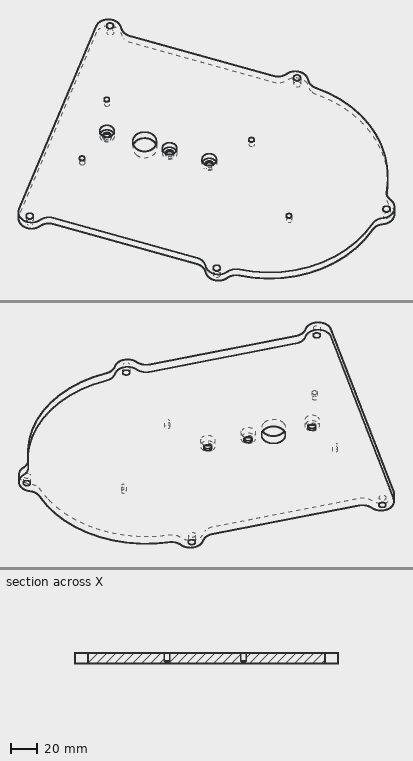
import cadquery as cq
import math

length = 270.0
thickness = 8.0
ear_radius = 10.0
half_width = length / 3
nose_center_x = length - ear_radius - half_width

ear_hole_diameter = 5.5
ear_hole_offset = 4.0
middle_ear_x = nose_center_x - ear_radius
nose_ear_x = nose_center_x + half_width

bore_x = 70.0
bore_diameter = 18.0
counterbored_hole_xs = (39.7, 90.0, 121.8)
screw_hole_diameter = 6.2
counterbore_diameter = 11.0
counterbore_depth = 6.0

blind_hole_diameter = 4.0
blind_hole_depth = 6.0
drill_tip_angle = 118.0
blind_left_x = 30.0
blind_upper_y = 28.0
blind_lower_y = -30.0
blind_upper_right_x = 146.0
blind_lower_right_x = 196.0
blind_hole_points = (
    (blind_left_x, blind_upper_y),
    (blind_upper_right_x, blind_upper_y),
    (blind_left_x, blind_lower_y),
    (blind_lower_right_x, blind_lower_y),
)

ears = [((nose_ear_x, 0), (1, 0))]
for side in (1, -1):
    for ear_x in (ear_radius, middle_ear_x):
        ears.append(((ear_x, side * half_width), (0, side)))


def round_prism(points, diameter, bottom, height):
    """Upright cylinders at the given points."""
    plane = cq.Workplane("XY").workplane(offset=bottom)
    return plane.pushPoints(points).circle(diameter / 2).extrude(height)


def nose_blend_center(ear_x, ear_y, turn):
    """Center of the blend touching an ear and the nose arc; turn is 1 for counterclockwise."""
    center_distance = math.hypot(ear_x - nose_center_x, ear_y)
    nose_reach = half_width + ear_radius
    ear_reach = 2 * ear_radius
    cosine = (nose_reach**2 + center_distance**2 - ear_reach**2) / (2 * nose_reach * center_distance)
    angle = math.atan2(ear_y, ear_x - nose_center_x) + turn * math.acos(cosine)
    return (nose_center_x + nose_reach * math.cos(angle), nose_reach * math.sin(angle))


def blend_triangles():
    """Ear center, blend center and a point inside the body for each concave blend."""
    nose_center = (nose_center_x, 0)
    straight_run = math.sqrt((2 * ear_radius) ** 2 - ear_radius**2)
    triangles = []
    for side in (1, -1):
        ear_y = side * half_width
        for ear_x, direction in ((ear_radius, 1), (middle_ear_x, -1)):
            blend_x = ear_x + direction * straight_run
            blend_center = (blend_x, ear_y + side * ear_radius)
            triangles.append(((ear_x, ear_y), blend_center, (blend_x, 0)))
        middle_blend = nose_blend_center(middle_ear_x, ear_y, -side)
        triangles.append(((middle_ear_x, ear_y), middle_blend, nose_center))
        triangles.append(((nose_ear_x, 0), nose_blend_center(nose_ear_x, 0, side), nose_center))
    return triangles


def make_plate():
    """Rectangle with a semicircular nose, plus ears blended into its edge."""
    body = (
        cq.Workplane("XY")
        .moveTo(0, -half_width)
        .lineTo(nose_center_x, -half_width)
        .threePointArc((nose_ear_x, 0), (nose_center_x, half_width))
        .lineTo(0, half_width)
        .close()
        .extrude(thickness)
    )
    ear_centers = [center for center, _ in ears]
    plate = body.union(round_prism(ear_centers, 2 * ear_radius, 0, thickness))

    for ear_center, blend_center, body_point in blend_triangles():
        triangle = cq.Workplane("XY").polyline([ear_center, blend_center, body_point]).close()
        web = triangle.extrude(thickness)
        plate = plate.union(web.cut(round_prism([blend_center], 2 * ear_radius, 0, thickness)))
    return plate


def make_ear_holes():
    points = []
    for (x, y), (out_x, out_y) in ears:
        points.append((x + ear_hole_offset * out_x, y + ear_hole_offset * out_y))
    return round_prism(points, ear_hole_diameter, 0, thickness)


def make_counterbored_holes():
    points = [(x, 0) for x in counterbored_hole_xs]
    screw_holes = round_prism(points, screw_hole_diameter, 0, thickness)
    floor = thickness - counterbore_depth
    return screw_holes.union(round_prism(points, counterbore_diameter, floor, counterbore_depth))


def make_blind_holes():
    """Drilled holes revolved about their own axes."""
    radius = blind_hole_diameter / 2
    tip_height = radius / math.tan(math.radians(drill_tip_angle / 2))
    shoulder = thickness - blind_hole_depth
    drill = (
        cq.Workplane("XZ")
        .moveTo(0, shoulder - tip_height)
        .lineTo(radius, shoulder)
        .lineTo(radius, thickness)
        .lineTo(0, thickness)
        .close()
        .revolve(360, (0, 0, 0), (0, 1, 0))
    )
    holes = cq.Workplane("XY")
    for x, y in blind_hole_points:
        holes = holes.add(drill.translate((x, y, 0)))
    return holes.combine()


result = (
    make_plate()
    .cut(make_ear_holes())
    .cut(round_prism([(bore_x, 0)], bore_diameter, 0, thickness))
    .cut(make_counterbored_holes())
    .cut(make_blind_holes())
)